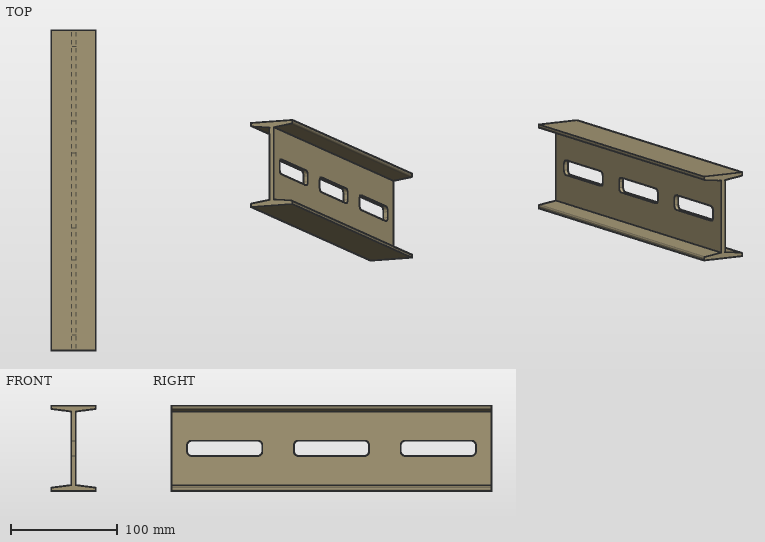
import cadquery as cq

length = 300.0
flange_width = 42.0
height = 80.0

web_thickness = 4.5
flange_tip_thickness = 3.3
flange_root_thickness = 5.7
tip_radius = 1.5

slot_count = 3
slot_pitch = length / slot_count
slot_length = 70.2
slot_height = 14.0
slot_corner_radius = 4.2


def make_beam():
    """I-section centred on the origin, extruded along Y."""
    half_width = flange_width / 2
    half_web = web_thickness / 2
    half_height = height / 2
    tip_z = half_height - flange_tip_thickness
    root_z = half_height - flange_root_thickness

    right_side = [
        (half_width, -half_height),
        (half_width, -tip_z),
        (half_web, -root_z),
        (half_web, root_z),
        (half_width, tip_z),
        (half_width, half_height),
    ]
    left_side = [(-x, z) for x, z in reversed(right_side)]
    beam = (
        cq.Workplane("XZ")
        .polyline(right_side + left_side)
        .close()
        .extrude(length / 2, both=True)
    )

    tip_corners = [(x, 0, z) for x in (-half_width, half_width) for z in (-tip_z, tip_z)]
    for corner in tip_corners:
        edge = beam.edges(cq.selectors.NearestToPointSelector(corner))
        beam = edge.fillet(tip_radius)
    return beam


def make_slots():
    """Rounded rectangular cutters passing through the web along X."""
    return (
        cq.Workplane("YZ")
        .rarray(slot_pitch, 3, slot_count, 1)
        .rect(slot_length, slot_height)
        .extrude(web_thickness, both=True)
        .edges("|X")
        .fillet(slot_corner_radius)
    )


result = make_beam().cut(make_slots())